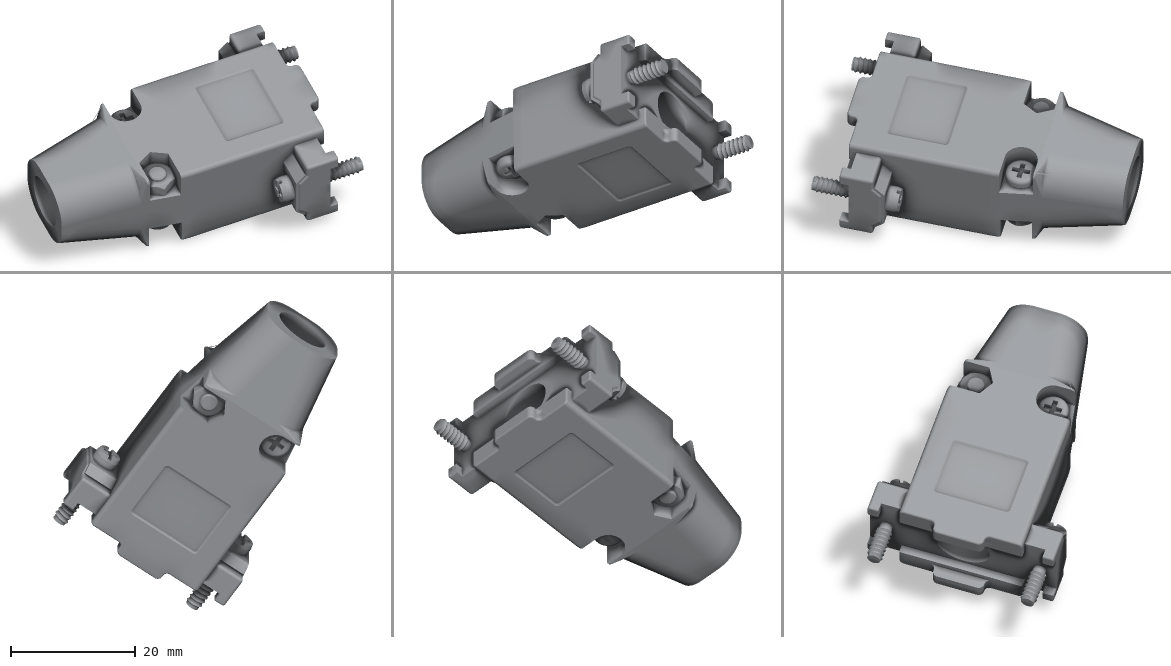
import cadquery as cq
import math

hood_half_width = 10.4
hood_half_height = 8.0
hood_back = 44.5
side_taper_start = 20.1
side_taper_angle = 10.0
side_bend_radius = 9.95
side_edge_radius = 0.75
back_edge_radius = 0.3

tab_end = 46.4
tab_half_width = 4.3
tab_thickness = 2.4
tab_corner_radius = 0.9
tab_root_radius = 0.75

nose_start = 13.95
nose_flare_length = 1.1
nose_end_half_height = 6.0
nose_corner_radius = 4.95
bore_half_width = 4.5
bore_half_height = 4.0

label_width = 13.05
label_length = 10.35
label_center_y = 34.1
label_corner_radius = 0.7
label_depth = 0.2
label_wall_angle = 60.0

clamp_x = 6.5
clamp_y = 16.9
clamp_floor = 3.4
clamp_pocket_radius = 2.7
clamp_head_radius = 2.55
clamp_head_height = 1.95
clamp_head_fillet = 0.65
clamp_cross_length = 3.0
clamp_cross_width = 0.85
clamp_cross_depth = 1.0
nut_sides = 6
nut_half_flats = 2.55
nut_height = 2.1
nut_chamfer = 0.45
clamp_shank_radius = 1.45
clamp_shank_tip = 0.6
clamp_tip_chamfer = 0.2

lug_span = 31.5
lug_half_height = 6.5
lug_lip_back = 44.65
lug_back = 43.15
lug_front = 39.1
lug_bump_front = 37.75
lug_bump_half_root = 4.5
lug_bump_half_crest = 3.25
lug_edge_radius = 0.5
lug_bump_edge_radius = 0.4
lip_edge_radius = 0.3
lip_inner_x = 13.9
lip_inner_z = 4.6
plate_end = 15.5
plate_thickness = 0.45

jack_x = 13.0
jack_tip = 49.75
jack_head_radius = 2.1
jack_head_height = 2.05
jack_head_draft = 0.2
jack_head_draft_length = 0.8
jack_slot_width = 0.65
jack_slot_depth = 0.6
jack_cross_length = 2.5
jack_cross_width = 0.75
jack_cross_depth = 1.1
jack_cross_center_radius = 0.55
jack_neck_radius = 1.05
jack_thread_start = 43.65
thread_root_radius = 1.1
thread_crest_radius = 1.35
thread_pitch = 0.8
thread_base = 0.65
thread_overlap = 0.05

select_margin = 0.05
whole_span = (-49.75, 49.75)

side_slope = math.tan(math.radians(side_taper_angle))
nose_slope = (hood_half_height - nose_end_half_height) / nose_start
nut_half_corners = nut_half_flats / math.cos(math.pi / nut_sides)
plate_front = lug_bump_front - plate_thickness
lug_end = lug_span / 2


def half_width_at(y):
    """Half width of the tapered sides at distance y from the cable end."""
    return hood_half_width - side_slope * (side_taper_start - y)


def half_height_at(y):
    """Half height of the tapered nose at distance y from the cable end."""
    return nose_end_half_height + nose_slope * y


def edges_within(x_range, y_range, z_range):
    """Selector for the edges whose centre lies within the given ranges."""
    return cq.selectors.BoxSelector(*zip(x_range, y_range, z_range))


def around(value):
    return (value - select_margin, value + select_margin)


def both_halves(shape):
    """The hood is two equal shells, turned half a revolution about Y from each other."""
    return shape.union(shape.rotate((0, 0, 0), (0, 1, 0), 180))


def mirrored_x(shape):
    return shape.union(shape.mirror("YZ"))


def make_body():
    start_half = half_width_at(nose_start)
    root_x = tab_half_width + tab_root_radius
    r = tab_root_radius
    c = tab_corner_radius
    body = (
        cq.Workplane("XY", origin=(0, 0, -hood_half_height))
        .moveTo(-start_half, nose_start)
        .lineTo(start_half, nose_start)
        .lineTo(hood_half_width, side_taper_start)
        .lineTo(hood_half_width, hood_back)
        .lineTo(root_x, hood_back)
        .radiusArc((tab_half_width, hood_back + r), r)
        .lineTo(tab_half_width, tab_end - c)
        .radiusArc((tab_half_width - c, tab_end), -c)
        .lineTo(c - tab_half_width, tab_end)
        .radiusArc((-tab_half_width, tab_end - c), -c)
        .lineTo(-tab_half_width, hood_back + r)
        .radiusArc((-root_x, hood_back), r)
        .lineTo(-hood_half_width, hood_back)
        .lineTo(-hood_half_width, side_taper_start)
        .close()
        .extrude(2 * hood_half_height)
    )
    near_bends = edges_within(whole_span, around(side_taper_start), whole_span)
    body = body.edges("|Z").edges(near_bends).fillet(side_bend_radius)
    for z_side in (-1, 1):
        for x_side in (-1, 1):
            sides = edges_within(
                sorted((x_side * hood_half_width, x_side * start_half / 2)),
                (nose_start + select_margin, hood_back - select_margin),
                around(z_side * hood_half_height))
            body = body.edges(sides).fillet(side_edge_radius)
    back_span = (hood_back - select_margin, tab_end + select_margin)
    top_back = edges_within(whole_span, back_span, around(hood_half_height))
    bottom_back = edges_within(whole_span, back_span, around(-hood_half_height))
    body = body.edges(top_back + bottom_back).fillet(back_edge_radius)
    gap = cq.Workplane("XY").box(
        2 * hood_half_width, tab_end, 2 * (hood_half_height - tab_thickness)
    ).translate((0, hood_back + tab_end / 2, 0))
    flange_slot = cq.Workplane("XY").box(
        2 * hood_half_width, tab_end, 2 * lip_inner_z
    ).translate((0, lug_back + tab_end / 2, 0))
    return body.cut(gap).cut(flange_slot)


def nose_section(y, corner_radius):
    """Rounded rectangle across the nose at distance y from the cable end."""
    return (
        cq.Sketch()
        .rect(2 * half_width_at(y), 2 * half_height_at(y))
        .vertices()
        .fillet(corner_radius)
        .moved(cq.Location(cq.Plane((0, y, 0), (1, 0, 0), (0, -1, 0))))
    )


def make_nose():
    flare_start = nose_start - nose_flare_length
    end = nose_section(0, nose_corner_radius)
    neck = nose_section(flare_start, nose_corner_radius)
    root = nose_section(nose_start, side_edge_radius)
    cone = cq.Workplane("XY").placeSketch(end, neck).loft(ruled=True)
    flare = cq.Workplane("XY").placeSketch(neck, root).loft(ruled=True)
    return cone.union(flare)


def make_label_recess():
    return (
        cq.Workplane("XY", origin=(0, label_center_y, hood_half_height))
        .sketch()
        .rect(label_width, label_length)
        .vertices()
        .fillet(label_corner_radius)
        .finalize()
        .extrude(-label_depth, taper=label_wall_angle)
    )


def cross_recess(plane, length, width, depth):
    return plane.rect(length, width).extrude(-depth).union(plane.rect(width, length).extrude(-depth))


def make_screw_pocket():
    floor = cq.Workplane("XY", origin=(-clamp_x, clamp_y, clamp_floor))
    round_end = floor.circle(clamp_pocket_radius).extrude(hood_half_height)
    open_side = (
        floor.center(-hood_half_width / 2, 0)
        .rect(hood_half_width, 2 * clamp_pocket_radius)
        .extrude(hood_half_height)
    )
    return round_end.union(open_side)


def make_nut_pocket():
    floor = cq.Workplane("XY", origin=(clamp_x, clamp_y, clamp_floor))
    hex_end = floor.polygon(nut_sides, 2 * nut_half_corners).extrude(hood_half_height)
    open_side = (
        floor.center(hood_half_width / 2, 0)
        .rect(hood_half_width, 2 * nut_half_flats)
        .extrude(hood_half_height)
    )
    return hex_end.union(open_side)


def make_clamp_head():
    head = (
        cq.Workplane("XY", origin=(-clamp_x, clamp_y, clamp_floor))
        .circle(clamp_head_radius)
        .extrude(clamp_head_height)
        .edges().fillet(clamp_head_fillet)
    )
    top = cq.Workplane("XY", origin=(-clamp_x, clamp_y, clamp_floor + clamp_head_height))
    return head.cut(cross_recess(top, clamp_cross_length, clamp_cross_width, clamp_cross_depth))


def make_nut():
    base = cq.Workplane("XY", origin=(clamp_x, clamp_y, clamp_floor))
    rounding = base.circle(nut_half_corners).extrude(nut_height).faces(">Z").chamfer(nut_chamfer)
    nut = base.polygon(nut_sides, 2 * nut_half_corners).extrude(nut_height).intersect(rounding)
    shank = (
        base.circle(clamp_shank_radius)
        .extrude(nut_height + clamp_shank_tip)
        .faces(">Z").chamfer(clamp_tip_chamfer)
    )
    return nut.union(shank)


def make_lug():
    bump_rise = lug_front - lug_bump_front
    bump_run = lug_bump_half_root - lug_bump_half_crest
    slope_length = math.hypot(bump_rise, bump_run)
    block = (
        cq.Workplane("YZ")
        .polyline([
            (lug_back, -lug_half_height),
            (lug_back, lug_half_height),
            (lug_front, lug_half_height),
            (lug_front, lug_bump_half_root),
            (lug_bump_front, lug_bump_half_crest),
            (lug_bump_front, -lug_bump_half_crest),
            (lug_front, -lug_bump_half_root),
            (lug_front, -lug_half_height),
        ])
        .close()
        .extrude(lug_end)
    )
    lip_width = lug_end - lip_inner_x
    lip_height = lug_half_height - lip_inner_z
    for side in (-1, 1):
        lip = cq.Workplane("XY").box(lip_width, lug_lip_back - lug_front, lip_height).translate((
            lip_inner_x + lip_width / 2,
            (lug_lip_back + lug_front) / 2,
            side * (lip_inner_z + lip_height / 2),
        ))
        block = block.union(lip)
    block = block.clean()
    block = block.edges("|X and (>Z or <Z)").edges("<Y").fillet(lug_edge_radius)
    block = block.faces(">X").edges("|Y and (>Z or <Z)").fillet(lug_edge_radius)

    lip_edges = edges_within(around(lug_end), around(lug_lip_back), whole_span)
    block = block.edges(lip_edges).fillet(lip_edge_radius)
    bump_edges = edges_within(
        around(lug_end),
        (lug_bump_front - select_margin, lug_front - select_margin),
        whole_span)
    block = block.edges(bump_edges).fillet(lug_bump_edge_radius)

    shift_y = plate_thickness * bump_run / slope_length
    shift_z = plate_thickness * bump_rise / slope_length
    crest_half = lug_bump_half_crest + plate_thickness * (slope_length - bump_run) / bump_rise
    plate = (
        cq.Workplane("YZ")
        .polyline([
            (lug_front, lug_bump_half_root),
            (lug_front - shift_y, lug_bump_half_root + shift_z),
            (plate_front, crest_half),
            (plate_front, -crest_half),
            (lug_front - shift_y, -lug_bump_half_root - shift_z),
            (lug_front, -lug_bump_half_root),
        ])
        .close()
        .extrude(plate_end)
    )
    return block.union(plate)


def make_thread():
    """Threaded end of a jack screw along +Z from the origin."""
    length = jack_tip - jack_thread_start
    core = cq.Workplane("XY").circle(thread_root_radius).extrude(length)
    inner = thread_root_radius - thread_overlap
    half_base = thread_base / 2
    helix_height = length - 2 * half_base
    path = cq.Workplane(obj=cq.Wire.makeHelix(thread_pitch, helix_height, inner))
    ridge = (
        cq.Workplane("XZ")
        .polyline([(inner, -half_base), (thread_crest_radius, 0), (inner, half_base)])
        .close()
        .sweep(path, isFrenet=True)
        .translate((0, 0, half_base))
    )
    return core.union(ridge)


def make_jack_screw():
    head_front = plate_front - jack_head_height
    head = (
        cq.Workplane("XZ", origin=(jack_x, plate_front, 0))
        .circle(jack_head_radius)
        .extrude(jack_head_height)
        .faces("<Y").chamfer(jack_head_draft_length, jack_head_draft)
    )
    front = cq.Workplane("XZ", origin=(jack_x, head_front, 0))
    slot = front.rect(jack_slot_width, 2 * jack_head_radius).extrude(-jack_slot_depth)
    cross = cross_recess(front, jack_cross_length, jack_cross_width, jack_cross_depth)
    neck = (
        cq.Workplane("XZ", origin=(jack_x, jack_thread_start, 0))
        .circle(jack_neck_radius)
        .extrude(jack_thread_start - lug_front)
    )
    thread = make_thread().rotate((0, 0, 0), (1, 0, 0), -90).translate((jack_x, jack_thread_start, 0))
    center = front.circle(jack_cross_center_radius).extrude(-jack_cross_depth)
    return head.cut(slot).cut(cross).cut(center).union(neck).union(thread)


hood = make_body().union(make_nose())
hood = hood.cut(both_halves(make_label_recess()))
hood = hood.cut(both_halves(make_screw_pocket().union(make_nut_pocket())))
hood = hood.union(both_halves(make_clamp_head().union(make_nut())))
hood = hood.union(mirrored_x(make_lug()))
hood = hood.union(mirrored_x(make_jack_screw()))

bore = (
    cq.Workplane("XZ")
    .ellipse(bore_half_width, bore_half_height)
    .extrude(-jack_tip)
)
result = hood.cut(bore)